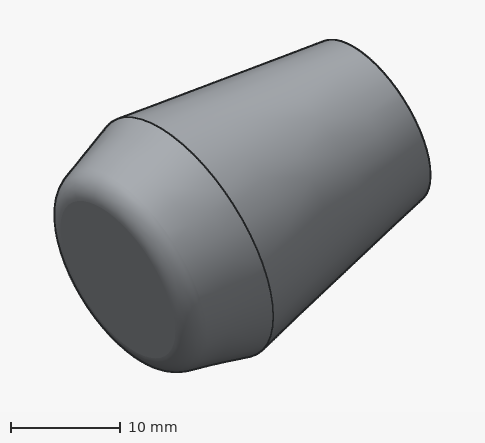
import cadquery as cq

length = 30.0
max_diameter = 25.0
rear_diameter = 17.0
face_diameter = 20.0
widest_y = 8.0
face_fillet = 2.5

knob = (
    cq.Workplane("XY")
    .moveTo(0, 0)
    .lineTo(face_diameter / 2, 0)
    .lineTo(max_diameter / 2, widest_y)
    .lineTo(rear_diameter / 2, length)
    .lineTo(0, length)
    .close()
    .revolve(360, (0, 0, 0), (0, 1, 0))
)

result = knob.faces("<Y").edges().fillet(face_fillet)